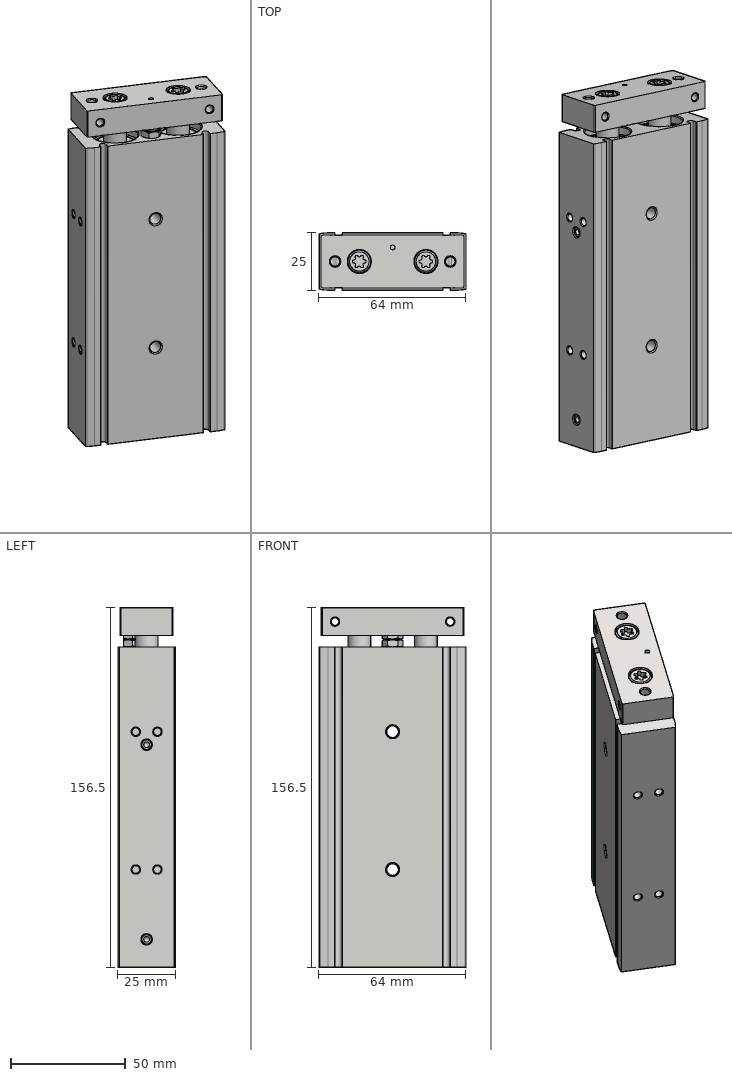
import cadquery as cq
import math

total_height = 156.5
plate_height = 12.2
plate_gap = 4.9
plate_bottom = total_height - plate_height
housing_top = plate_bottom - plate_gap

housing_width = 64.0
housing_depth = 25.0
half_width = housing_width / 2
half_depth = housing_depth / 2
shoulder_x = 28.0
shoulder_radius = 15.6
shoulder_end_x = 31.5
edge_drop = 0.6

slot_width = 3.0
slot_center_x = 23.5
slot_depth = 3.6
lip_chamfer = 0.23

mount_hole_levels = (42.5, 102.5)
mount_hole_diameter = 5.0
mount_hole_rim_diameter = 6.1
side_hole_offset = 4.7
side_hole_diameter = 3.3
side_hole_rim_diameter = 4.0
side_hole_depth = 4.7

port_levels = (12.2, 96.9)
port_rim_diameter = 5.0
port_seat_diameter = 4.0
port_seat_depth = 0.6
port_diameter = 2.5
port_depth = 2.3
port_tip_angle = 118.0

rod_spacing = 29.0
rod_diameter = 10.0
rod_insertion = 15.6
recess_rim_diameter = 21.0
recess_diameter = 20.0
recess_depth = 3.8
bearing_bore_diameter = 17.2
bearing_bore_depth = 4.0

rod_neck_diameter = 9.9
rod_head_rim_diameter = 8.5
head_chamfer = 0.6
head_seat_diameter = 10.5
head_seat_depth = 1.3
head_drop = 0.2
torx_outer_radius = 3.0
torx_inner_radius = 2.0
torx_lobes = 6
torx_depth = 2.5

plate_width = 62.1
plate_depth = 23.0
plate_edge_chamfer = 0.5
plate_hole_offset = 25.0
plate_hole_level = 150.4
plate_cross_hole_diameter = 3.3
plate_cross_hole_rim_diameter = 4.0
plate_top_hole_diameter = 4.0
plate_top_hole_rim_diameter = 5.0
plate_top_hole_depth = 7.7

stop_y = 6.1
hex_sides = 6
hex_across_flats = 8.0
hex_chamfer_angle = 30.0
bolt_head_height = 3.0
washer_face_height = 0.5
stop_thread_diameter = 5.0
stop_thread_engagement = 6.3
wrench_hole_diameter = 2.0
bolt_head_top = housing_top + bolt_head_height
nut_bottom = bolt_head_top + washer_face_height
thread_top = plate_bottom + stop_thread_engagement

side_signs = (-1, 1)
rod_positions = [(sign * rod_spacing / 2, 0) for sign in side_signs]


def cylinder_z(x, y, bottom, top, diameter):
    return cq.Workplane("XY", origin=(x, y, bottom)).circle(diameter / 2).extrude(top - bottom)


def rimmed_hole(plane, diameter, rim_diameter, depth):
    """Cutter that starts at the plane, runs along its normal and has a 45 degree rim."""
    rim_depth = (rim_diameter - diameter) / 2
    profile = (
        cq.Workplane("XZ")
        .moveTo(0, 0)
        .lineTo(rim_diameter / 2, 0)
        .lineTo(diameter / 2, rim_depth)
        .lineTo(diameter / 2, depth)
        .lineTo(0, depth)
        .close()
        .revolve(360, (0, 0, 0), (0, 1, 0))
    )
    return cq.Workplane(obj=profile.val().moved(cq.Location(plane)))


def face_plane(point, inward):
    """Plane at a point on a face, its normal pointing into the material."""
    return cq.Plane(origin=point, normal=inward)


def housing_blank():
    flat_edge = (shoulder_x, half_depth)
    center_y = half_depth - shoulder_radius
    sweep = math.asin((shoulder_end_x - shoulder_x) / shoulder_radius)

    def shoulder_point(angle):
        x = shoulder_x + shoulder_radius * math.sin(angle)
        return (x, center_y + shoulder_radius * math.cos(angle))

    quarter = (
        cq.Workplane("XY")
        .lineTo(0, half_depth)
        .lineTo(*flat_edge)
        .threePointArc(shoulder_point(sweep / 2), shoulder_point(sweep))
        .lineTo(half_width, half_depth - edge_drop)
        .lineTo(half_width, 0)
        .close()
        .extrude(housing_top)
    )
    half = quarter.union(quarter.mirror("YZ"))
    return half.union(half.mirror("XZ"))


def slot_cutter(sign_x, sign_y):
    radius = slot_width / 2
    cutter = (
        cq.Workplane("XY")
        .moveTo(-radius - lip_chamfer, half_depth)
        .lineTo(-radius, half_depth - lip_chamfer)
        .lineTo(-radius, half_depth - slot_depth + radius)
        .threePointArc((0, half_depth - slot_depth), (radius, half_depth - slot_depth + radius))
        .lineTo(radius, half_depth - lip_chamfer)
        .lineTo(radius + lip_chamfer, half_depth)
        .close()
        .extrude(housing_top)
    )
    if sign_y < 0:
        cutter = cutter.mirror("XZ")
    return cutter.translate((sign_x * slot_center_x, 0, 0))


def mount_hole_cutter(level):
    halves = [
        rimmed_hole(
            face_plane((0, sign * half_depth, level), (0, -sign, 0)),
            mount_hole_diameter, mount_hole_rim_diameter, half_depth,
        )
        for sign in side_signs
    ]
    return halves[0].union(halves[1])


def side_hole_cutter(sign_x, y, level):
    plane = face_plane((sign_x * half_width, y, level), (-sign_x, 0, 0))
    return rimmed_hole(plane, side_hole_diameter, side_hole_rim_diameter, side_hole_depth)


def port_cutter(level):
    """Rimmed seat followed by a narrower drilled hole with a conical end."""
    plane = face_plane((-half_width, 0, level), (1, 0, 0))
    seat = rimmed_hole(plane, port_seat_diameter, port_rim_diameter, port_seat_depth)
    port_radius = port_diameter / 2
    tip_length = port_radius / math.tan(math.radians(port_tip_angle / 2))
    drill = cq.Workplane(plane).circle(port_radius).extrude(port_depth)
    tip = cq.Solid.makeCone(port_radius, 0, tip_length, plane.toWorldCoords((0, 0, port_depth)), plane.zDir)
    return seat.union(drill).union(cq.Workplane(obj=tip))


def rod_recess_cutter(x, y):
    rim_plane = face_plane((x, y, housing_top), (0, 0, -1))
    recess = rimmed_hole(rim_plane, recess_diameter, recess_rim_diameter, recess_depth)
    bearing = cylinder_z(x, y, housing_top - bearing_bore_depth, housing_top, bearing_bore_diameter)
    bore = cylinder_z(x, y, housing_top - rod_insertion, housing_top, rod_diameter)
    return recess.union(bearing).union(bore)


def make_housing():
    housing = housing_blank()
    for sign_x in side_signs:
        for sign_y in side_signs:
            housing = housing.cut(slot_cutter(sign_x, sign_y))
            for level in mount_hole_levels:
                housing = housing.cut(side_hole_cutter(sign_x, sign_y * side_hole_offset, level))
    for level in mount_hole_levels:
        housing = housing.cut(mount_hole_cutter(level))
    for level in port_levels:
        housing = housing.cut(port_cutter(level))
    for x, y in rod_positions:
        housing = housing.cut(rod_recess_cutter(x, y))
    return housing


def make_plate():
    plate = (
        cq.Workplane("XY", origin=(0, 0, plate_bottom))
        .rect(plate_width, plate_depth)
        .extrude(plate_height)
        .edges("|Z")
        .chamfer(plate_edge_chamfer)
    )
    for sign in side_signs:
        x = sign * plate_hole_offset
        for face in side_signs:
            plane = face_plane((x, face * plate_depth / 2, plate_hole_level), (0, -face, 0))
            plate = plate.cut(rimmed_hole(
                plane, plate_cross_hole_diameter, plate_cross_hole_rim_diameter, plate_depth / 2
            ))
        top_plane = face_plane((x, 0, total_height), (0, 0, -1))
        plate = plate.cut(rimmed_hole(
            top_plane, plate_top_hole_diameter, plate_top_hole_rim_diameter, plate_top_hole_depth
        ))
    for x, y in rod_positions:
        plate = plate.cut(cylinder_z(x, y, plate_bottom, total_height, rod_neck_diameter))
        plate = plate.cut(cylinder_z(x, y, total_height - head_seat_depth, total_height, head_seat_diameter))
    plate = plate.cut(cylinder_z(0, stop_y, plate_bottom, thread_top, stop_thread_diameter))
    return plate.cut(cylinder_z(0, stop_y, thread_top, total_height, wrench_hole_diameter))


def torx_socket(x, y, top):
    def polar(radius, turn):
        angle = 2 * math.pi * turn / torx_lobes
        return (radius * math.cos(angle), radius * math.sin(angle))

    middle_radius = (torx_outer_radius + torx_inner_radius) / 2
    outline = cq.Workplane("XY", origin=(x, y, top - torx_depth)).moveTo(*polar(middle_radius, -0.25))
    for lobe in range(torx_lobes):
        outline = outline.threePointArc(polar(torx_outer_radius, lobe), polar(middle_radius, lobe + 0.25))
        outline = outline.threePointArc(
            polar(torx_inner_radius, lobe + 0.5), polar(middle_radius, lobe + 0.75)
        )
    return outline.close().extrude(torx_depth)


def make_rod(x, y):
    head_top = total_height - head_drop
    shaft = cylinder_z(x, y, housing_top - rod_insertion, plate_bottom, rod_diameter)
    neck = cylinder_z(x, y, plate_bottom, head_top, rod_neck_diameter)
    neck = neck.faces(">Z").chamfer(head_chamfer, (rod_neck_diameter - rod_head_rim_diameter) / 2)
    return shaft.union(neck).cut(torx_socket(x, y, head_top))


def hexagon(bottom, top, trim_bottom, trim_top):
    """Hexagonal prism whose chosen ends are trimmed by a cone."""
    flat_radius = hex_across_flats / 2
    corner_radius = flat_radius / math.cos(math.pi / hex_sides)
    drop = (corner_radius - flat_radius) * math.tan(math.radians(hex_chamfer_angle))
    bottom_radius = flat_radius if trim_bottom else corner_radius
    top_radius = flat_radius if trim_top else corner_radius
    turned = (
        cq.Workplane("XZ", origin=(0, stop_y, 0))
        .moveTo(0, bottom)
        .lineTo(bottom_radius, bottom)
        .lineTo(corner_radius, bottom + drop)
        .lineTo(corner_radius, top - drop)
        .lineTo(top_radius, top)
        .lineTo(0, top)
        .close()
        .revolve(360, (0, 0, 0), (0, 1, 0))
    )
    prism = (
        cq.Workplane("XY", origin=(0, stop_y, bottom))
        .polygon(hex_sides, 2 * corner_radius)
        .extrude(top - bottom)
    )
    return prism.intersect(turned)


def make_stop_bolt():
    head = hexagon(housing_top, bolt_head_top, True, True)
    washer_face = cylinder_z(0, stop_y, bolt_head_top, nut_bottom, hex_across_flats)
    shank = cylinder_z(0, stop_y, nut_bottom, thread_top, stop_thread_diameter)
    return head.union(washer_face).union(shank)


def make_lock_nut():
    nut = hexagon(nut_bottom, plate_bottom, True, False)
    return nut.cut(cylinder_z(0, stop_y, nut_bottom, plate_bottom, stop_thread_diameter))


housing = make_housing()
plate = make_plate()
rods = [make_rod(x, y) for x, y in rod_positions]
stop_bolt = make_stop_bolt()
lock_nut = make_lock_nut()

result = cq.Compound.makeCompound(
    [housing.val(), plate.val(), *[rod.val() for rod in rods], stop_bolt.val(), lock_nut.val()]
)